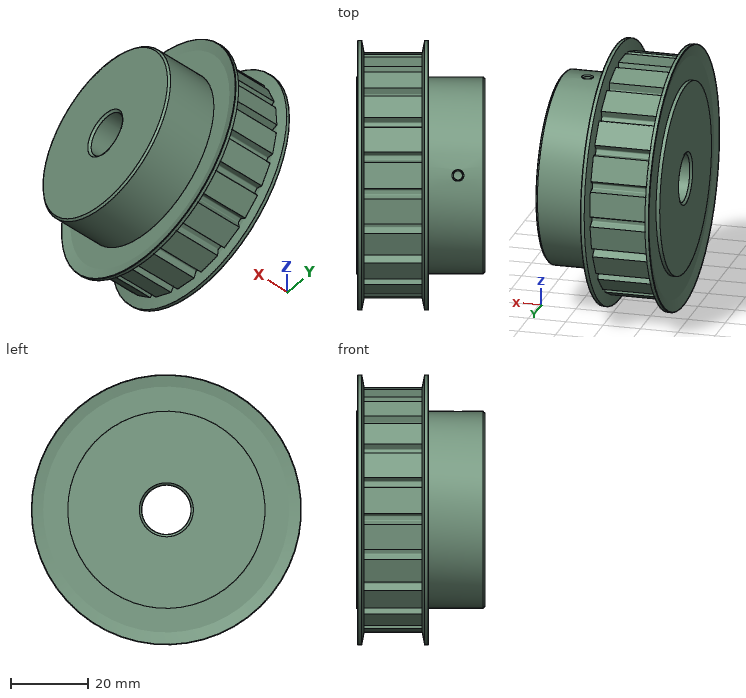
import cadquery as cq
import math


LENGTH = 33.3
HUB_RADIUS = 25.5
HUB_CHAMFER = 0.55

BORE_RADIUS = 6.35
BORE_CHAMFER = 0.6

FLANGE_RADIUS = 34.9
BEND_RADIUS = 31.8
FLANGE_THICKNESS = 1.05
RIM_OFFSET = 0.6
RIM_CHAMFER = 0.15
RIM_START = 0.35
RIM_END = 18.7

TOOTH_COUNT = 21
TOOTH_FLAT_RADIUS = 31.6
GROOVE_DEPTH = 1.75
GROOVE_TOP_WIDTH = 2.65
GROOVE_BOTTOM_WIDTH = 1.3
GROOVE_FILLET = 0.35

SCREW_X = 26.25
SCREW_RADIUS = 1.2
SCREW_CHAMFER = 0.35

FACE_START = RIM_START + RIM_OFFSET + FLANGE_THICKNESS
FACE_END = RIM_END - RIM_OFFSET - FLANGE_THICKNESS
PITCH_ANGLE = 360 / TOOTH_COUNT


def cylinder_along_x(radius, start, end):
    return cq.Workplane("YZ", origin=(start, 0, 0)).circle(radius).extrude(end - start)


def hub():
    return cylinder_along_x(HUB_RADIUS, 0, LENGTH).faces(">X").chamfer(HUB_CHAMFER)


def flange(rim_x, inward):
    """Dished disc; rim_x is its outermost face, inward is the X direction towards the teeth."""
    disc_x = rim_x + inward * RIM_OFFSET
    thickness = inward * FLANGE_THICKNESS
    profile = [
        (disc_x, 0),
        (disc_x, BEND_RADIUS),
        (rim_x, FLANGE_RADIUS - RIM_CHAMFER),
        (rim_x + inward * RIM_CHAMFER, FLANGE_RADIUS),
        (rim_x + thickness, FLANGE_RADIUS),
        (disc_x + thickness, BEND_RADIUS),
        (disc_x + thickness, 0),
    ]
    return cq.Workplane("XY").polyline(profile).close().revolve(360, (0, 0, 0), (1, 0, 0))


def groove_cutter():
    """Tapered groove with rounded bottom corners, pointing along +Z."""
    bottom = TOOTH_FLAT_RADIUS - GROOVE_DEPTH
    slope = (GROOVE_TOP_WIDTH - GROOVE_BOTTOM_WIDTH) / 2 / GROOVE_DEPTH
    half_bottom = GROOVE_BOTTOM_WIDTH / 2
    half_outside = half_bottom + slope * (FLANGE_RADIUS - bottom)
    outline = [
        (-half_bottom, bottom),
        (half_bottom, bottom),
        (half_outside, FLANGE_RADIUS),
        (-half_outside, FLANGE_RADIUS),
    ]
    blank = cq.Workplane("YZ", origin=(FACE_START, 0, 0)).polyline(outline).close()
    return blank.extrude(FACE_END - FACE_START).edges("|X and <Z").fillet(GROOVE_FILLET)


def toothed_ring():
    """Flat-topped teeth: a regular prism, one flat facing +Z, grooved along each of its corners."""
    corner_circle = 2 * TOOTH_FLAT_RADIUS / math.cos(math.radians(PITCH_ANGLE / 2))
    prism = cq.Workplane("YZ", origin=(FACE_START, 0, 0)).polygon(TOOTH_COUNT, corner_circle)
    ring = prism.extrude(FACE_END - FACE_START)
    ring = ring.rotate((0, 0, 0), (1, 0, 0), 90 + PITCH_ANGLE / 2)
    cutter = groove_cutter()
    for index in range(TOOTH_COUNT):
        angle = (index + 0.5) * PITCH_ANGLE
        ring = ring.cut(cutter.rotate((0, 0, 0), (1, 0, 0), angle))
    return ring


def bore_cutter():
    mouth = BORE_RADIUS + BORE_CHAMFER
    profile = [
        (0, 0),
        (0, mouth),
        (BORE_CHAMFER, BORE_RADIUS),
        (LENGTH - BORE_CHAMFER, BORE_RADIUS),
        (LENGTH, mouth),
        (LENGTH, 0),
    ]
    return cq.Workplane("XY").polyline(profile).close().revolve(360, (0, 0, 0), (1, 0, 0))


def screw_hole_cutter():
    """Radial hole from the top of the hub into the bore, with a countersunk mouth."""
    profile = [
        (0, 0),
        (SCREW_RADIUS, 0),
        (SCREW_RADIUS, HUB_RADIUS - SCREW_CHAMFER),
        (SCREW_RADIUS + SCREW_CHAMFER, HUB_RADIUS),
        (0, HUB_RADIUS),
    ]
    hole = cq.Workplane("XZ").polyline(profile).close().revolve(360, (0, 0, 0), (0, 1, 0))
    return hole.translate((SCREW_X, 0, 0))


result = (
    hub()
    .union(toothed_ring())
    .union(flange(RIM_START, 1))
    .union(flange(RIM_END, -1))
    .cut(bore_cutter())
    .cut(screw_hole_cutter())
)